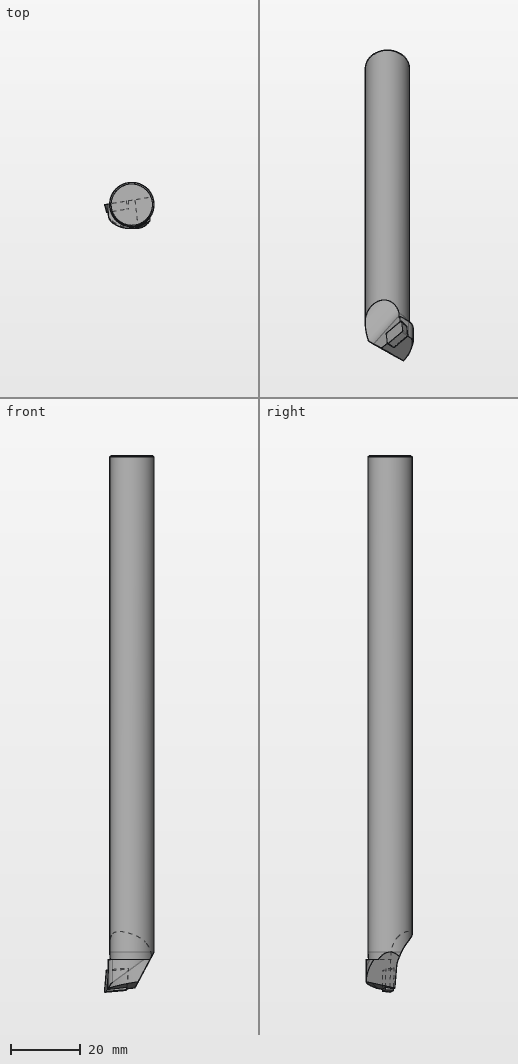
import cadquery as cq
import math


bar_length = 153.6
shank_diameter = 12.8
shank_radius = shank_diameter / 2
top_chamfer = 0.5
shank_bottom = 11.5
head_top = 9.4
neck_end_radius = 6.22

head_radius = 7.8
head_x = -0.8
head_y = 1.0
head_left = -6.8
miter_height = 6.3
miter_angle = 36.0
lower_axis_angle = -60.0
side_blend = 3.0

end_low = (1.2, 1.8)
end_high = (shank_radius, shank_bottom)
base_height = 0.5
base_x = -6.1
base_rise_x = 0.15
base_rise_y = 0.2

tip_x = -7.8
rake_slope = 0.16
flute_drop = 0.28
flute_radius = 8.9
flute_height = 10.8

insert_edge = 6.5
insert_angle = 80.0
insert_thickness = 2.3
insert_clearance = 7.0
nose_radius = 0.3

reach = 61.5


def half_space(point, normal, x_direction):
    """Block on the side of a plane that its normal points to."""
    plane = cq.Plane(origin=point, xDir=x_direction, normal=normal)
    return cq.Workplane(plane).rect(reach, reach).extrude(reach)


def make_shank():
    shank = cq.Workplane("XY", origin=(0, 0, shank_bottom)).circle(shank_radius)
    shank = shank.extrude(bar_length - shank_bottom).faces(">Z").chamfer(top_chamfer)
    neck = cq.Workplane("XY", origin=(0, 0, head_top)).circle(neck_end_radius)
    neck = neck.workplane(offset=shank_bottom - head_top).circle(shank_radius).loft()
    return shank.union(neck)


def make_head():
    """Two oblique cylinders that share an ellipse in the miter plane, then trimmed."""
    miter = math.radians(miter_angle)
    ellipse = cq.Wire.makeEllipse(
        head_radius / math.cos(miter),
        head_radius,
        center=cq.Vector(head_x, head_y, miter_height),
        normal=cq.Vector(-math.sin(miter), 0, math.cos(miter)),
        xDir=cq.Vector(math.cos(miter), 0, math.sin(miter)),
    )
    lower_tilt = math.radians(lower_axis_angle)
    lower_path = cq.Vector(math.cos(lower_tilt), 0, math.sin(lower_tilt)) * reach
    lower = cq.Workplane(cq.Solid.extrudeLinear(ellipse, [], lower_path))
    upper = cq.Workplane(cq.Solid.extrudeLinear(ellipse, [], cq.Vector(0, 0, reach)))

    right_of_side = half_space((head_left, 0, 0), (1, 0, 0), (0, 1, 0))
    envelope = cq.Workplane("XY").center(head_x, head_y).circle(head_radius).extrude(head_top)
    envelope = envelope.intersect(right_of_side)
    envelope = envelope.edges("|Z").edges("<X").edges("<Y").fillet(side_blend)
    right_stock = cq.Workplane("XY").box(reach, reach, head_top, centered=(False, True, False))
    envelope = envelope.union(right_stock.translate((head_x, 0, 0)))
    above_base = half_space((base_x, 0, base_height), (-base_rise_x, base_rise_y, 1), (1, 0, base_rise_x))
    return upper.union(lower).intersect(envelope).intersect(above_base)


def make_end_cutter():
    """Block beyond the slanted end of the head."""
    end_run = end_high[0] - end_low[0]
    end_rise = end_high[1] - end_low[1]
    return half_space((end_low[0], 0, end_low[1]), (end_rise, 0, -end_run), (0, 1, 0))


def make_flute_cutter():
    """Rounded slot that leaves the flat rake face and its concave run-out."""
    plane = cq.Plane(
        origin=(tip_x, 0, flute_height),
        xDir=(-rake_slope, 1, 0),
        normal=(1, rake_slope, -flute_drop),
    )
    runout = cq.Workplane(plane).center(flute_radius, 0).circle(flute_radius).extrude(reach / 2, both=True)
    slot = cq.Workplane(plane).center(flute_radius, -reach / 2).rect(2 * flute_radius, reach)
    return runout.union(slot.extrude(reach / 2, both=True))


def make_insert():
    """Rhombic insert tapered away from its rake face, with a rounded nose."""
    lean = math.radians((90 - insert_angle) / 2)
    half_angle = math.radians(insert_angle / 2)
    corner = nose_radius - nose_radius / math.sin(half_angle) * math.cos(math.pi / 4)
    long_step = insert_edge * math.cos(lean)
    short_step = insert_edge * math.sin(lean)
    outline = [
        (corner, corner),
        (corner + long_step, corner + short_step),
        (corner + long_step + short_step, corner + long_step + short_step),
        (corner + short_step, corner + long_step),
    ]
    plane = cq.Plane(origin=(tip_x, 0, 0), xDir=(1, rake_slope, 0), normal=(rake_slope, -1, 0))
    rhombus = cq.Sketch().polygon(outline + outline[:1]).vertices().fillet(nose_radius)
    return cq.Workplane(plane).placeSketch(rhombus).extrude(insert_thickness, taper=insert_clearance)


insert = make_insert()

bar = make_shank().union(make_head())
bar = bar.cut(make_end_cutter()).cut(make_flute_cutter())
bar = bar.cut(insert)

result = cq.Compound.makeCompound([*bar.solids().vals(), insert.val()])